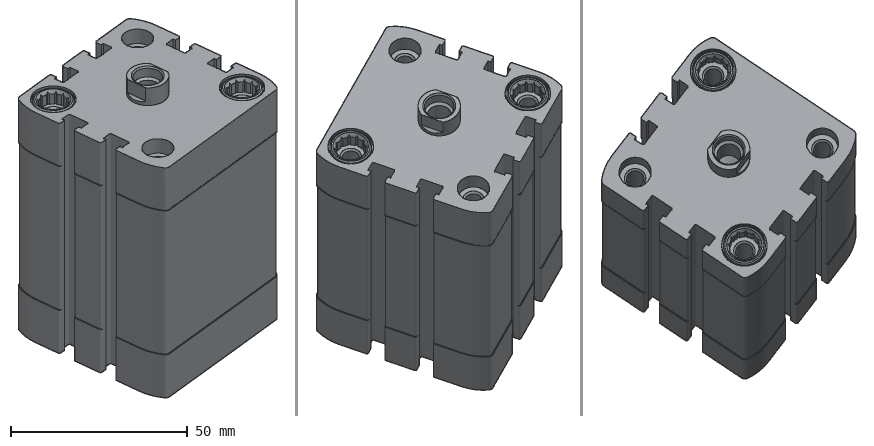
import cadquery as cq
import math

overall_height = 86.1

width = 54.5
housing_height = 80.0
cap_height = 15.0
barrel_inset = 0.3
crown_radius = 16.0
crown_start = 18.85
corner_fillet = 1.6

slot_offset = 7.5
slot_mouth_width = 5.2
slot_inner_width = 7.0
slot_lip = 2.2
slot_depth = 5.4
slot_floor_fillet = 0.35
mouth_fillet = 0.5

hole_spacing = 38.0
hole_diameter = 4.9
hole_chamfer_diameter = 6.0
counterbore_diameter = 9.0
counterbore_depth = 5.0

head_recess_diameter = 12.8
head_diameter = 11.9
head_chamfer = 0.4
head_gap_depth = 0.9
socket_mouth_diameter = 10.0
socket_lead_depth = 1.2
socket_diameter = 8.4
socket_points_diameter = 9.2
socket_depth = 4.7
socket_squares = 3

rod_diameter = 12.0
across_flats = 10.0
flat_height = 4.6
flat_runout_angle = 30
thread_relief_diameter = 8.4
thread_relief_depth = 3.45
relief_chamfer = 0.4
thread_diameter = 6.6
thread_depth = 12.9
drill_angle = 120

half_width = width / 2
rod_top = overall_height
rod_bottom = housing_height - cap_height
rod_length = rod_top - rod_bottom


def cone_height(large_diameter, small_diameter):
    """Height of a cone with the drill point angle between two diameters."""
    return (large_diameter - small_diameter) / 2 / math.tan(math.radians(drill_angle / 2))


def cone(center, z, bottom_diameter, top_diameter, height):
    """Truncated cone that stands on height z."""
    solid = cq.Solid.makeCone(bottom_diameter / 2, top_diameter / 2, height, cq.Vector(*center, z))
    return cq.Workplane(obj=solid)


def cylinder(center, z, diameter, height):
    """Upright cylinder that stands on height z."""
    return cq.Workplane("XY", origin=(*center, z)).circle(diameter / 2).extrude(height)


def slot_profile(half):
    """Sketch of one T-slot that opens toward +Y at a side lying at distance half."""
    mouth = slot_mouth_width / 2
    inner = slot_inner_width / 2
    lip = half_width - slot_lip
    floor = half_width - slot_depth
    return (
        cq.Workplane("XY")
        .moveTo(mouth + mouth_fillet, half)
        .radiusArc((mouth, half - mouth_fillet), -mouth_fillet)
        .lineTo(mouth, lip)
        .lineTo(inner, lip)
        .lineTo(inner, floor + slot_floor_fillet)
        .radiusArc((inner - slot_floor_fillet, floor), slot_floor_fillet)
        .lineTo(slot_floor_fillet - inner, floor)
        .radiusArc((-inner, floor + slot_floor_fillet), slot_floor_fillet)
        .lineTo(-inner, lip)
        .lineTo(-mouth, lip)
        .lineTo(-mouth, half - mouth_fillet)
        .radiusArc((-mouth - mouth_fillet, half), -mouth_fillet)
        .close()
    )


def housing_section(z, height, inset):
    """Length of slotted profile, with the whole outline moved inward by inset."""
    half = half_width - inset
    radius = crown_radius - inset
    center_y = half - radius

    def crown_y(x):
        return center_y + math.sqrt(radius**2 - (x - crown_start) ** 2)

    crown_middle = (crown_start + half) / 2
    section = (
        cq.Workplane("XY")
        .moveTo(-crown_start, half)
        .lineTo(crown_start, half)
        .threePointArc((crown_middle, crown_y(crown_middle)), (half, crown_y(half)))
        .lineTo(half, -crown_y(half))
        .threePointArc((crown_middle, -crown_y(crown_middle)), (crown_start, -half))
        .lineTo(-crown_start, -half)
        .threePointArc((-crown_middle, -crown_y(crown_middle)), (-half, -crown_y(half)))
        .lineTo(-half, crown_y(half))
        .threePointArc((-crown_middle, crown_y(crown_middle)), (-crown_start, half))
        .close()
        .extrude(height)
    )
    section = section.edges("|Z and (<X or >X)").fillet(corner_fillet - inset)

    slot = slot_profile(half).extrude(height)
    for side_angle in (0, 90, 180):
        for offset in (-slot_offset, slot_offset):
            placed_slot = slot.translate((offset, 0, 0))
            section = section.cut(placed_slot.rotate((0, 0, 0), (0, 0, 1), side_angle))
    return section.translate((0, 0, z))


def through_hole(center, floor_depth):
    """Through hole with a small chamfer where it leaves a floor at the given depth."""
    floor = housing_height - floor_depth
    chamfer = (hole_chamfer_diameter - hole_diameter) / 2
    countersink = cone(center, floor - chamfer, hole_diameter, hole_chamfer_diameter, chamfer)
    return cylinder(center, 0, hole_diameter, floor).union(countersink)


def plain_corner_hole(center):
    """Counterbored through hole."""
    counterbore = cylinder(
        center, housing_height - counterbore_depth, counterbore_diameter, counterbore_depth
    )
    return through_hole(center, counterbore_depth).union(counterbore)


def twelve_point_socket(center):
    """Round socket with twelve notches, the corners of squares turned in equal steps."""
    floor = housing_height - socket_depth
    side = socket_points_diameter / math.sqrt(2)
    socket = cylinder(center, floor, socket_diameter, socket_depth)
    for index in range(socket_squares):
        angle = 45 + index * 90 / socket_squares
        square = cq.Workplane("XY").rect(side, side).extrude(socket_depth)
        square = square.rotate((0, 0, 0), (0, 0, 1), angle)
        socket = socket.union(square.translate((*center, floor)))
    return socket


def screw_corner_hole(center):
    """Ring gap around a screw head, the socket in the head and the through hole below it."""
    gap_floor = housing_height - head_gap_depth
    gap = cylinder(center, gap_floor, head_recess_diameter, head_gap_depth)
    head = cylinder(center, gap_floor, head_diameter, head_gap_depth).faces(">Z").chamfer(head_chamfer)
    lead_in = cone(
        center, housing_height - socket_lead_depth, socket_diameter, socket_mouth_diameter, socket_lead_depth
    )
    socket = twelve_point_socket(center)
    return gap.cut(head).union(socket).union(lead_in).union(through_hole(center, socket_depth))


def make_housing():
    """Barrel between two caps, with corner holes and the seat of the rod."""
    barrel_height = housing_height - 2 * cap_height
    housing = (
        housing_section(0, cap_height, 0)
        .union(housing_section(cap_height, barrel_height, barrel_inset))
        .union(housing_section(housing_height - cap_height, cap_height, 0))
    )
    hole_position = hole_spacing / 2
    for sign in (-1, 1):
        housing = housing.cut(plain_corner_hole((sign * hole_position, -sign * hole_position)))
        housing = housing.cut(screw_corner_hole((sign * hole_position, sign * hole_position)))
    return housing.cut(cylinder((0, 0), rod_bottom, rod_diameter, cap_height))


def flat_cutter():
    """Removes the material outside the +Y flat, with a shoulder that slopes down outward."""
    flat_y = across_flats / 2
    reach = rod_diameter / 2 - flat_y
    flat_bottom = rod_top - flat_height
    drop = reach * math.tan(math.radians(flat_runout_angle))
    return (
        cq.Workplane("YZ")
        .moveTo(flat_y, rod_top)
        .lineTo(flat_y, flat_bottom)
        .lineTo(flat_y + reach, flat_bottom - drop)
        .lineTo(flat_y + reach, rod_top)
        .close()
        .extrude(rod_diameter / 2, both=True)
    )


def thread_bore():
    """Stepped blind bore of the rod: chamfer, relief, thread hole and drill point."""
    relief_cone = cone_height(thread_relief_diameter, thread_diameter)
    drill_point = cone_height(thread_diameter, 0)
    relief_bottom = rod_top - thread_relief_depth
    thread_bottom = rod_top - thread_depth
    mouth_diameter = thread_relief_diameter + 2 * relief_chamfer
    axis = (0, 0)
    bore = cylinder(axis, thread_bottom, thread_diameter, thread_depth)
    bore = bore.union(cone(axis, thread_bottom - drill_point, 0, thread_diameter, drill_point))
    bore = bore.union(cylinder(axis, relief_bottom, thread_relief_diameter, thread_relief_depth))
    bore = bore.union(
        cone(axis, relief_bottom - relief_cone, thread_diameter, thread_relief_diameter, relief_cone)
    )
    return bore.union(
        cone(axis, rod_top - relief_chamfer, thread_relief_diameter, mouth_diameter, relief_chamfer)
    )


def make_rod():
    """Round rod with two wrench flats and an internal thread bore."""
    rod = cylinder((0, 0), rod_bottom, rod_diameter, rod_length)
    flat = flat_cutter()
    return rod.cut(flat).cut(flat.mirror("XZ")).cut(thread_bore())


housing = make_housing()
rod = make_rod()
result = cq.Compound.makeCompound([housing.val(), rod.val()])